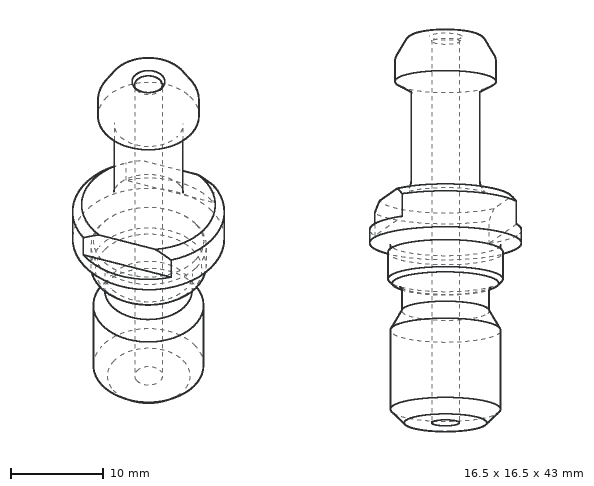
import cadquery as cq
import math


length = 43.0
shank_radius = 12.0 / 2
shank_top = 10.3
end_chamfer = 1.5
cone_angle = math.radians(60)

relief_radius = 9.5 / 2
relief_fillet = 0.77
relief_cone_height = (shank_radius - relief_radius) * math.tan(cone_angle)

collar_radius = 12.5 / 2
collar_bottom = 15.52
collar_top = 19.0
collar_chamfer = 0.47
undercut_radius = shank_radius
undercut_fillet = 0.25
undercut_runout = 0.5

flange_radius = 16.5 / 2
flange_bottom = 20.0
flange_top = 25.0
flange_chamfer = 1.0
flat_width = 13.0
flat_bottom = 21.5

neck_radius = 7.5 / 2
neck_base_fillet = 1.98
neck_top = 36.75
neck_top_fillet = 0.35
underside_angle = math.radians(30)

head_radius = 11.0 / 2
head_shoulder = 40.25
head_fillet = 1.0

hole_radius = 3.0 / 2
mouth_radius = 3.55 / 2
mouth_depth = 0.5

neck_turn = math.pi / 2 - underside_angle
underside_inner = neck_radius + neck_top_fillet * (1 - math.cos(neck_turn))
underside_bottom = neck_top + neck_top_fillet * math.sin(neck_turn)
head_bottom = underside_bottom + (head_radius - underside_inner) * math.tan(underside_angle)

shoulder_turn = math.pi / 2 - cone_angle
cone_bottom_radius = head_radius - head_fillet * (1 - math.cos(shoulder_turn))
cone_bottom = head_shoulder + head_fillet * math.sin(shoulder_turn)
cone_top = length - head_fillet * (1 - math.cos(cone_angle))
cone_top_radius = cone_bottom_radius - (cone_top - cone_bottom) / math.tan(cone_angle)
end_face_radius = cone_top_radius - head_fillet * math.sin(cone_angle)


def make_body():
    """Revolve the half profile, drawn from the thread end up to the head."""
    profile = (
        cq.Workplane("XZ")
        .lineTo(shank_radius - end_chamfer, 0)
        .lineTo(shank_radius, end_chamfer)
        .lineTo(shank_radius, shank_top)
        .lineTo(relief_radius, shank_top + relief_cone_height)
        .lineTo(relief_radius, collar_bottom - relief_fillet)
        .tangentArcPoint((relief_radius + relief_fillet, collar_bottom), relative=False)
        .lineTo(collar_radius - collar_chamfer, collar_bottom)
        .lineTo(collar_radius, collar_bottom + collar_chamfer)
        .lineTo(collar_radius, collar_top)
    )

    step = collar_radius - undercut_radius
    runout_radius = (step**2 + undercut_runout**2) / (2 * step)
    half_turn = math.atan2(step, undercut_runout)
    runout_mid = (
        undercut_radius + runout_radius * (1 - math.cos(half_turn)),
        collar_top + undercut_runout - runout_radius * math.sin(half_turn),
    )
    profile = (
        profile.threePointArc(runout_mid, (undercut_radius, collar_top + undercut_runout))
        .lineTo(undercut_radius, flange_bottom - undercut_fillet)
        .tangentArcPoint((undercut_radius + undercut_fillet, flange_bottom), relative=False)
        .lineTo(flange_radius, flange_bottom)
        .lineTo(flange_radius, flange_top - flange_chamfer)
        .lineTo(flange_radius - flange_chamfer, flange_top)
        .lineTo(neck_radius + neck_base_fillet, flange_top)
        .tangentArcPoint((neck_radius, flange_top + neck_base_fillet), relative=False)
        .lineTo(neck_radius, neck_top)
        .tangentArcPoint((underside_inner, underside_bottom), relative=False)
        .lineTo(head_radius, head_bottom)
        .lineTo(head_radius, head_shoulder)
        .tangentArcPoint((cone_bottom_radius, cone_bottom), relative=False)
        .lineTo(cone_top_radius, cone_top)
        .tangentArcPoint((end_face_radius, length), relative=False)
        .lineTo(0, length)
        .close()
    )
    return profile.revolve(360, (0, 0), (0, 1))


def cut_wrench_flats(body):
    """Trim both Y sides of the flange down to a ledge."""
    flat_height = flange_top - flat_bottom
    depth = flange_radius - flat_width / 2
    for side in (-1, 1):
        cutter = (
            cq.Workplane("XY", origin=(0, side * (flat_width + depth) / 2, flat_bottom))
            .box(2 * flange_radius, depth, flat_height, centered=(True, True, False))
        )
        body = body.cut(cutter)
    return body


def make_bore():
    """Through hole with a tapered mouth at the head."""
    return (
        cq.Workplane("XZ")
        .lineTo(hole_radius, 0)
        .lineTo(hole_radius, length - mouth_depth)
        .lineTo(mouth_radius, length)
        .lineTo(0, length)
        .close()
        .revolve(360, (0, 0), (0, 1))
    )


result = cut_wrench_flats(make_body()).cut(make_bore())